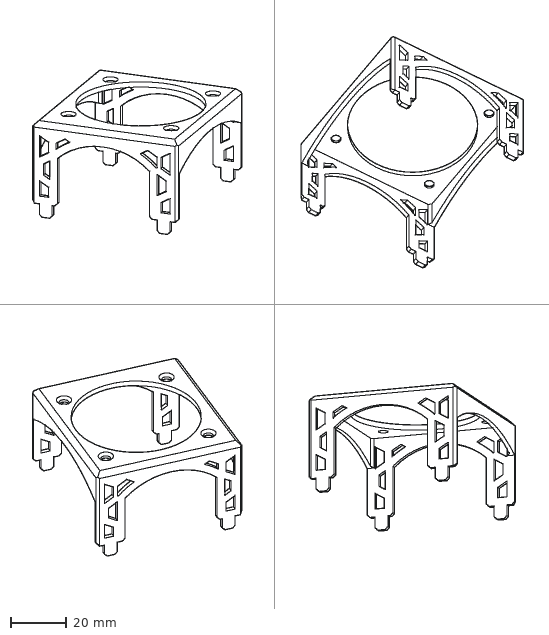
import cadquery as cq
import math

width = 56.9
depth = 62.4
body_height = 31.2
tab_length = 5.0
wall = 1.7
plate_thickness = 2.0

top_bevel = 2.0
corner_bevel = 1.0
foot_bevel = 1.0

fan_x = 29.35
fan_y = 32.4
fan_diameter = 47.0
screw_pitch = 40.0
screw_diameter = 3.5
countersink_diameter = 5.5
countersink_angle = 90.0

left_leg_width = 10.0
right_leg_width = 11.0
tab_inset = 3.0
tab_width = 5.0

arch_spring_z = 18.25
end_arch_apex_z = 25.2
side_arch_apex_z = 25.1

frame_margin = 3.0
hex_flats = 7.1
hex_top_row_z = 22.05
hex_row_pitch = 8.66
left_outer_hex_x = 3.0
left_middle_hex_x = 8.1
left_arch_hex_x = 13.1
right_outer_hex_x = width - left_outer_hex_x
right_middle_hex_x = width - left_middle_hex_x
right_arch_hex_x = width - 11.6

right_leg_x = width - right_leg_width


def block(x_range, y_range, z_range):
    """Box between the given limits."""
    sizes = [high - low for low, high in (x_range, y_range, z_range)]
    corner = (x_range[0], y_range[0], z_range[0])
    return cq.Workplane("XY").box(*sizes, centered=False).translate(corner)


def through_depth(outline):
    """Extrude a closed XZ outline through the whole depth."""
    return outline.extrude(-depth)


def make_shell():
    """Bevelled box, open underneath, with thin walls below the plate and bevelled inner corners."""
    outline = (0, width), (0, depth), (0, body_height)
    bevelled_top = block(*outline).faces(">Z").edges().chamfer(top_bevel)
    bevelled_corners = block(*outline).edges("|Z").chamfer(corner_bevel)
    cavity = block((wall, width - wall), (wall, depth - wall), (0, body_height - plate_thickness))
    cavity = cavity.edges("|Z").chamfer(corner_bevel)
    return bevelled_top.intersect(bevelled_corners).cut(cavity)


def arch_outline(plane, start, end, apex_z):
    """Doorway outline: straight jambs under a circular arch."""
    return (
        cq.Workplane(plane)
        .moveTo(start, 0)
        .lineTo(start, arch_spring_z)
        .threePointArc(((start + end) / 2, apex_z), (end, arch_spring_z))
        .lineTo(end, 0)
        .close()
    )


def cut_arches(body):
    """Open the end walls between the legs and the side walls between the ends."""
    end_arch = through_depth(arch_outline("XZ", left_leg_width, right_leg_x, end_arch_apex_z))
    side_arch = arch_outline("YZ", wall, depth - wall, side_arch_apex_z).extrude(width)
    return body.cut(end_arch).cut(side_arch)


def bevel_feet(body):
    """Bevel both lower corners of each leg."""
    for start, end in ((0, left_leg_width), (right_leg_x, width)):
        for corner_x, inner_x in ((start, start + foot_bevel), (end, end - foot_bevel)):
            corner = [(corner_x, 0), (inner_x, 0), (corner_x, foot_bevel)]
            body = body.cut(through_depth(cq.Workplane("XZ").polyline(corner).close()))
    return body


def add_tabs(body):
    """Plug-in tab with a bevelled tip under each leg."""
    for x in (tab_inset, width - tab_inset - tab_width):
        for y in (0, depth - wall):
            tab = block((x, x + tab_width), (y, y + wall), (-tab_length, 0))
            body = body.union(tab.faces("<Z").edges("|Y").chamfer(foot_bevel))
    return body


def hexagon(x, z):
    """Hexagonal prism through the depth with a corner pointing up."""
    corner_radius = hex_flats / math.sqrt(3)
    angles = [math.radians(30 + 60 * i) for i in range(6)]
    corners = [(x + corner_radius * math.cos(a), z + corner_radius * math.sin(a)) for a in angles]
    return through_depth(cq.Workplane("XZ").polyline(corners).close())


def cut_leg_windows(body):
    """Column of three staggered windows in each leg, clipped to leave a solid frame."""
    columns = (
        (frame_margin, left_leg_width - frame_margin, left_outer_hex_x, left_middle_hex_x),
        (right_leg_x + frame_margin, width - frame_margin, right_outer_hex_x, right_middle_hex_x),
    )
    for start, end, outer_x, middle_x in columns:
        field = block((start, end), (0, depth), (frame_margin, body_height))
        for row, x in enumerate((outer_x, middle_x, outer_x)):
            window = hexagon(x, hex_top_row_z - row * hex_row_pitch)
            body = body.cut(window.intersect(field))
    return body


def cut_arch_windows(body):
    """One window each side of the end arch, clipped to leave a rim above the arch."""
    half_span = (right_leg_x - left_leg_width) / 2
    rise = end_arch_apex_z - arch_spring_z
    arch_radius = (half_span**2 + rise**2) / (2 * rise)
    arch_center = (left_leg_width + half_span, end_arch_apex_z - arch_radius)
    rim = through_depth(cq.Workplane("XZ").center(*arch_center).circle(arch_radius + frame_margin))
    for x in (left_arch_hex_x, right_arch_hex_x):
        body = body.cut(hexagon(x, hex_top_row_z).cut(rim))
    return body


def cut_plate_holes(body):
    """Fan opening and four countersunk screw holes."""
    plate_top = cq.Workplane("XY", origin=(fan_x, fan_y, body_height))
    opening = plate_top.circle(fan_diameter / 2).extrude(-plate_thickness)
    body = body.cut(opening)
    return (
        body.faces(">Z")
        .workplane(origin=(fan_x, fan_y, body_height))
        .rect(screw_pitch, screw_pitch, forConstruction=True)
        .vertices()
        .cskHole(screw_diameter, countersink_diameter, countersink_angle, plate_thickness)
    )


shell = bevel_feet(cut_arches(make_shell()))
framed = cut_arch_windows(cut_leg_windows(shell))
result = cut_plate_holes(add_tabs(framed))